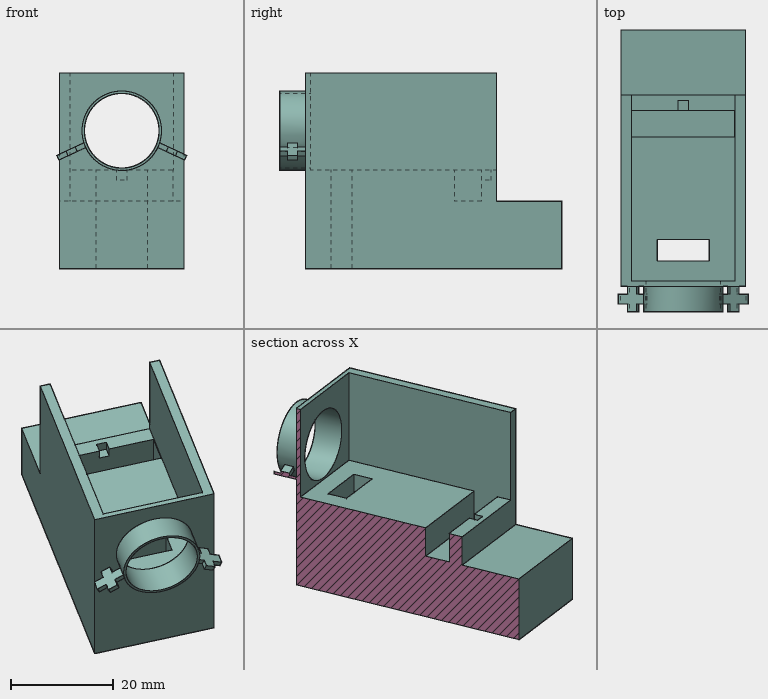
import cadquery as cq

body_width = 24.3
body_height = 38.2
total_length = 55.0
ring_length = 5.0
body_length = total_length - ring_length
step_length = 12.7
step_height = 13.2

side_wall = 2.05
front_wall = 1.0
floor_height = 19.3
chamber_width = body_width - 2 * side_wall
chamber_end = body_length - step_length

slot_width = 10.1
slot_start = 4.95
slot_end = 9.1
recess_start = 29.1
recess_end = 34.3
recess_gap = 0.1
notch_width = 2.0
notch_end = 36.2
recess_bottom = step_height
notch_depth = notch_width

ring_outer_diameter = 15.5
ring_bore_diameter = 14.5
ring_height = 26.95

tab_angle = 25.0
tab_thickness = 1.0
tab_arm = 2.0
tab_reach = 13.55
ring_embed = 0.3


def box(x_min, x_max, y_min, y_max, z_min, z_max):
    """Axis-aligned block given by its limits."""
    size = (x_max - x_min, y_max - y_min, z_max - z_min)
    return cq.Workplane("XY").box(*size, centered=False).translate((x_min, y_min, z_min))


def centred_box(width, y_min, y_max, z_min, z_max):
    """Block centred on X = 0."""
    return box(-width / 2, width / 2, y_min, y_max, z_min, z_max)


def ring_cylinder(diameter, y_min, y_max):
    """Cylinder along Y on the ring axis."""
    profile = cq.Workplane("XZ", origin=(0, y_min, ring_height)).circle(diameter / 2)
    return profile.extrude(y_min - y_max)


def make_body():
    body = centred_box(body_width, 0, body_length, 0, body_height)
    step = centred_box(body_width, chamber_end, body_length, step_height, body_height)
    chamber = centred_box(chamber_width, front_wall, chamber_end, floor_height, body_height)
    return body.cut(step).cut(chamber)


def make_floor_openings():
    half_width = chamber_width / 2
    slot = centred_box(slot_width, slot_start, slot_end, 0, floor_height)
    recess = box(
        -half_width, half_width - recess_gap, recess_start, recess_end, recess_bottom, floor_height
    )
    notch = centred_box(notch_width, recess_end, notch_end, floor_height - notch_depth, floor_height)
    return slot.union(recess).union(notch)


def make_tab(side):
    """Cross tab sloping down and outwards; side is 1 for +X or -1 for -X."""
    root = ring_outer_diameter / 2 - ring_embed
    middle = -ring_length / 2
    cross_end = tab_reach - tab_arm
    long_arm = box(root, tab_reach, middle - tab_arm / 2, middle + tab_arm / 2, 0, tab_thickness)
    cross_arm = box(cross_end - tab_arm, cross_end, -ring_length, 0, 0, tab_thickness)
    tab = long_arm.union(cross_arm).rotate((0, 0, 0), (0, 1, 0), tab_angle)
    if side < 0:
        tab = tab.mirror("YZ")
    return tab.translate((0, 0, ring_height))


result = make_body().cut(make_floor_openings())
result = result.union(ring_cylinder(ring_outer_diameter, -ring_length, 0))
for side in (-1, 1):
    result = result.union(make_tab(side))
result = result.cut(ring_cylinder(ring_bore_diameter, -ring_length, front_wall))